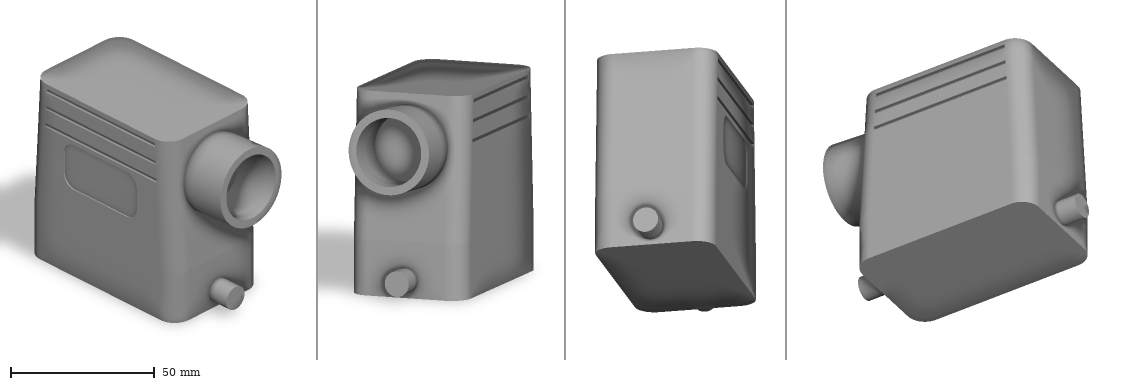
import cadquery as cq
import math

base_length = 73.1
top_length = 67.3
width = 43.0
height = 72.0
skirt_height = 20.0
corner_radius = 7.0

pin_diameter = 9.0
pin_span = 90.0
pin_height = 6.3

entry_diameter = 30.0
entry_bore_diameter = 24.2
entry_length = 18.0
entry_height = 53.2

groove_count = 3
groove_width = 1.5
groove_pitch = 7.0
groove_depth = 1.0
first_groove_drop = 1.9

panel_length = 35.9
panel_height = 18.0
panel_corner_radius = 5.0
panel_depth = 0.5
panel_center_height = 43.9

wall_lean = (base_length - top_length) / 2
lean_slope = wall_lean / (height - skirt_height)
lean_angle = math.atan(lean_slope)


def half_length_at(z):
    """Half of the housing length at height z of the leaning walls."""
    return base_length / 2 - lean_slope * (z - skirt_height)


def make_housing():
    """Tapered block whose four corners, skirt and leaning parts alike, are rounded."""
    upright_edges = "not(#Z or |Y)"
    return (
        cq.Workplane("XZ")
        .moveTo(-base_length / 2, 0)
        .lineTo(base_length / 2, 0)
        .lineTo(base_length / 2, skirt_height)
        .lineTo(top_length / 2, height)
        .lineTo(-top_length / 2, height)
        .lineTo(-base_length / 2, skirt_height)
        .close()
        .extrude(width / 2, both=True)
        .edges(upright_edges)
        .fillet(corner_radius)
    )


def make_pins():
    """One bar through the housing whose ends are the two pins."""
    return (
        cq.Workplane("YZ")
        .center(0, pin_height)
        .circle(pin_diameter / 2)
        .extrude(pin_span / 2, both=True)
    )


def entry_plane():
    """Plane on the leaning +X wall, its normal along the cable entry."""
    return cq.Plane(
        origin=(half_length_at(entry_height), 0, entry_height),
        xDir=(0, 1, 0),
        normal=(math.cos(lean_angle), 0, math.sin(lean_angle)),
    )


def make_entry_cylinder(diameter):
    """Cylinder along the cable entry, used for both its barrel and its bore."""
    return cq.Workplane(entry_plane()).circle(diameter / 2).extrude(entry_length)


def make_groove(index, side):
    """Groove that fills the flat between the corner rounds; side is -1 or +1 along Y."""
    top = height - first_groove_drop - index * groove_pitch
    bottom = top - groove_width
    top_reach = half_length_at(top) - corner_radius
    bottom_reach = half_length_at(bottom) - corner_radius
    groove_floor = width / 2 - groove_depth
    return (
        cq.Workplane("XZ", origin=(0, side * groove_floor, 0))
        .moveTo(-bottom_reach, bottom)
        .lineTo(bottom_reach, bottom)
        .lineTo(top_reach, top)
        .lineTo(-top_reach, top)
        .close()
        .extrude(-side * groove_depth)
    )


def make_panel_recess():
    return (
        cq.Workplane("XZ", origin=(0, -width / 2, panel_center_height))
        .rect(panel_length, panel_height)
        .extrude(-panel_depth)
        .edges("|Y")
        .fillet(panel_corner_radius)
    )


result = make_housing().union(make_pins()).union(make_entry_cylinder(entry_diameter))
result = result.cut(make_entry_cylinder(entry_bore_diameter))
for side in (-1, 1):
    for index in range(groove_count):
        result = result.cut(make_groove(index, side))
result = result.cut(make_panel_recess())